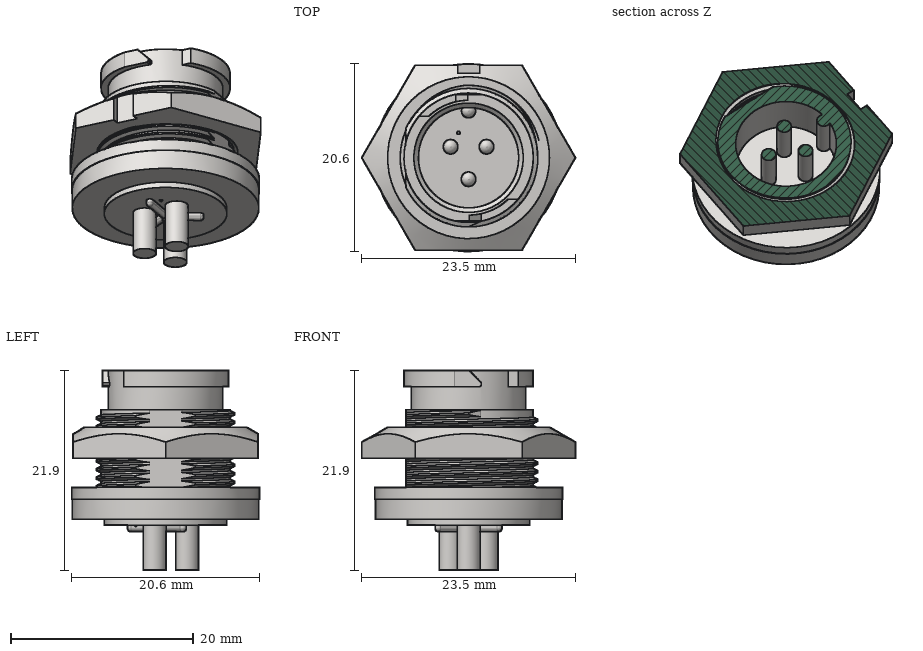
import cadquery as cq
import math


FLANGE_RADIUS = 10.31
FLANGE_LOWER_RADIUS = 10.25
FLANGE_STEP_Z = 2.2
FLANGE_TOP_Z = 3.5
BASE_RADIUS = 6.73
BASE_BOTTOM_Z = -0.64

BARREL_RADIUS = 7.1
BARREL_TOP_Z = 12.05
BARREL_FLAT_X = -6.87
PITCH = 0.94
THREAD_CREST_RADIUS = 7.6
THREAD_ROOT_WIDTH = 0.70
THREAD_CREST_WIDTH = 0.20
THREAD_EMBED = 0.15
THREAD_END_Z = 11.58
THREAD_TURNS = 9
THREAD_EXTRA_TURNS = 0.1
THREAD_END_X = 1.3

SOCKET_TOP_Z = 16.35
SOCKET_RADIUS = 6.3
BORE_RADIUS = 5.5
BORE_CHAMFER = 0.5
BORE_FLOOR_Z = FLANGE_TOP_Z

COLLAR_RADIUS = 7.09
COLLAR_BOTTOM_Z = 14.55
COLLAR_FLAT_Y = 6.92
GAP_END_Y = 4.56
RAMP_TOP_X = 0.07
RAMP_BOTTOM_X = 1.40
RAMP_LOW_Z = 14.98
TIP_CHAMFER = 0.15

CONTACT_PAIR_X = 1.97
CONTACT_PAIR_Y = 1.2
CONTACT_SINGLE_Y = -2.36
CONTACT_POSITIONS = (
    (CONTACT_PAIR_X, CONTACT_PAIR_Y),
    (-CONTACT_PAIR_X, CONTACT_PAIR_Y),
    (0, CONTACT_SINGLE_Y),
)
CONTACT_RADIUS = 0.8
CONTACT_TIP_Z = 13.58
TIP_ROUNDING = 0.999
TAIL_RADIUS = 1.27
TAIL_BOTTOM_Z = -5.56
KEY_Y = 5.15
KEY_RADIUS = 0.78
KEY_TIP_Z = 15.47

WEB_ANGLES = (90, 210, 330)
WEB_HALF_WIDTH = 0.38
WEB_LENGTH = 4.18
WEB_BOTTOM_Z = -1.35
WEB_FILLET = 0.35

DOT_RADIUS = 0.17
DOT_HEIGHT = 0.16
FLOOR_DOT = (-1.1, 2.72)
BASE_DOT = (-1.1, 3.26)

NUT_BOTTOM_Z = 6.7
NUT_TOP_Z = 10.13
NUT_ACROSS_CORNERS = 23.46
NUT_ACROSS_FLATS = NUT_ACROSS_CORNERS * math.cos(math.pi / 6)
NUT_FACE_RADIUS = 8.88
NUT_CHAMFER_ANGLE = 30
NUT_BORE_RADIUS = 7.5
NUT_GROOVE_RADIUS = 7.94
NUT_GROOVE_WIDTH = 0.40
NUT_GROOVE_ROOT_WIDTH = 0.10
NUT_GROOVE_OVERLAP = 0.1
NUT_NOTCH_WIDTH = 2.4
NUT_NOTCH_FLOOR_Y = 9.29

CUT_MARGIN = 1.0


def cylinder(radius, bottom, top, x=0, y=0):
    return cq.Workplane("XY", origin=(x, y, bottom)).circle(radius).extrude(top - bottom)


def helical_ridge(inner_radius, inner_width, outer_radius, outer_width, start_z, turns):
    """Right-handed trapezoidal ridge that starts on the -Y side at start_z."""
    path = cq.Wire.makeHelix(PITCH, turns * PITCH, inner_radius)
    profile = cq.Workplane("XZ").polyline([
        (inner_radius, -inner_width / 2),
        (outer_radius, -outer_width / 2),
        (outer_radius, outer_width / 2),
        (inner_radius, inner_width / 2),
    ]).close()
    ridge = profile.sweep(cq.Workplane(path), isFrenet=True)
    return ridge.rotate((0, 0, 0), (0, 0, 1), -90).translate((0, 0, start_z))


def round_pin(radius, bottom, tip, x, y):
    """Upright pin with a hemispherical tip."""
    return cylinder(radius, bottom, tip, x, y).faces(">Z").edges().fillet(radius * TIP_ROUNDING)


def flatted_cylinder(radius):
    """Cylinder over the barrel's height, with the barrel's flat on the -X side."""
    flat = (
        cq.Workplane("XY", origin=(BARREL_FLAT_X - radius, 0, FLANGE_TOP_Z))
        .rect(2 * radius, 2 * radius)
        .extrude(BARREL_TOP_Z - FLANGE_TOP_Z)
    )
    return cylinder(radius, FLANGE_TOP_Z, BARREL_TOP_Z).cut(flat)


def thread():
    flank_slope = (THREAD_ROOT_WIDTH - THREAD_CREST_WIDTH) / (THREAD_CREST_RADIUS - BARREL_RADIUS)
    ridge = helical_ridge(
        BARREL_RADIUS - THREAD_EMBED,
        THREAD_ROOT_WIDTH + flank_slope * THREAD_EMBED,
        THREAD_CREST_RADIUS,
        THREAD_CREST_WIDTH,
        THREAD_END_Z - THREAD_TURNS * PITCH,
        THREAD_TURNS + THREAD_EXTRA_TURNS,
    )
    fade = (
        cq.Workplane("XY", origin=(0, 0, THREAD_END_Z - THREAD_ROOT_WIDTH / 2))
        .polyline([
            (0, -THREAD_CREST_RADIUS),
            (THREAD_END_X, -math.sqrt(BARREL_RADIUS ** 2 - THREAD_END_X ** 2)),
            (THREAD_END_X, 0),
            (THREAD_CREST_RADIUS + CUT_MARGIN, 0),
            (THREAD_CREST_RADIUS + CUT_MARGIN, -THREAD_CREST_RADIUS - CUT_MARGIN),
            (0, -THREAD_CREST_RADIUS - CUT_MARGIN),
        ])
        .close()
        .extrude(PITCH)
    )
    return ridge.cut(fade)


def threaded_barrel():
    """Overlong threaded rod, trimmed to the barrel's height and flat."""
    rod = cylinder(BARREL_RADIUS, FLANGE_TOP_Z - CUT_MARGIN, BARREL_TOP_Z + CUT_MARGIN)
    threaded_rod = rod.union(thread(), clean=False)
    return threaded_rod.intersect(flatted_cylinder(THREAD_CREST_RADIUS + CUT_MARGIN), clean=False)


def bayonet_collar():
    height = SOCKET_TOP_Z - COLLAR_BOTTOM_Z
    collar = cylinder(COLLAR_RADIUS, COLLAR_BOTTOM_Z, SOCKET_TOP_Z)
    collar = collar.intersect(
        cq.Workplane("XY", origin=(0, 0, COLLAR_BOTTOM_Z))
        .rect(2 * COLLAR_RADIUS, 2 * COLLAR_FLAT_Y)
        .extrude(height)
    )
    gap = (
        cq.Workplane("XZ", origin=(0, -GAP_END_Y, 0))
        .polyline([
            (RAMP_TOP_X, SOCKET_TOP_Z),
            (RAMP_BOTTOM_X, RAMP_LOW_Z),
            (RAMP_BOTTOM_X, COLLAR_BOTTOM_Z + TIP_CHAMFER),
            (RAMP_BOTTOM_X - TIP_CHAMFER, COLLAR_BOTTOM_Z),
            (COLLAR_RADIUS, COLLAR_BOTTOM_Z),
            (COLLAR_RADIUS, SOCKET_TOP_Z),
        ])
        .close()
        .extrude(COLLAR_RADIUS - GAP_END_Y)
    )
    for turn in (0, 180):
        collar = collar.cut(gap.rotate((0, 0, 0), (0, 0, 1), turn))
    return collar


def web():
    arms = cylinder(WEB_HALF_WIDTH, WEB_BOTTOM_Z, BASE_BOTTOM_Z)
    slot_length = 2 * WEB_LENGTH
    for angle in WEB_ANGLES:
        arm = (
            cq.Workplane("XY", origin=(0, 0, WEB_BOTTOM_Z))
            .slot2D(slot_length, 2 * WEB_HALF_WIDTH)
            .extrude(BASE_BOTTOM_Z - WEB_BOTTOM_Z)
            .faces("<Z").edges().fillet(WEB_FILLET)
        )
        half = cq.Workplane("XY").box(
            slot_length, slot_length, slot_length, centered=(False, True, True)
        )
        arms = arms.union(arm.intersect(half).rotate((0, 0, 0), (0, 0, 1), angle))
    return arms


def marker_dot(position, z, direction):
    x, y = position
    return cq.Workplane(
        cq.Solid.makeCone(DOT_RADIUS, 0, DOT_HEIGHT, cq.Vector(x, y, z), cq.Vector(0, 0, direction))
    )


def make_connector():
    body = (
        threaded_barrel()
        .union(cylinder(FLANGE_LOWER_RADIUS, 0, FLANGE_STEP_Z))
        .union(cylinder(FLANGE_RADIUS, FLANGE_STEP_Z, FLANGE_TOP_Z))
        .union(cylinder(BASE_RADIUS, BASE_BOTTOM_Z, 0))
        .union(cylinder(SOCKET_RADIUS, BARREL_TOP_Z, SOCKET_TOP_Z))
        .union(bayonet_collar())
    )
    bore = cylinder(BORE_RADIUS, BORE_FLOOR_Z, SOCKET_TOP_Z)
    mouth = cq.Workplane(cq.Solid.makeCone(
        BORE_RADIUS, BORE_RADIUS + BORE_CHAMFER, BORE_CHAMFER,
        cq.Vector(0, 0, SOCKET_TOP_Z - BORE_CHAMFER),
    ))
    body = body.cut(bore).cut(mouth)

    for x, y in CONTACT_POSITIONS:
        body = body.union(round_pin(CONTACT_RADIUS, BORE_FLOOR_Z, CONTACT_TIP_Z, x, y))
        body = body.union(cylinder(TAIL_RADIUS, TAIL_BOTTOM_Z, BASE_BOTTOM_Z, x, y))

    body = body.union(round_pin(KEY_RADIUS, BORE_FLOOR_Z, KEY_TIP_Z, 0, KEY_Y))
    body = body.union(web())
    body = body.union(marker_dot(FLOOR_DOT, BORE_FLOOR_Z, 1))
    return body.union(marker_dot(BASE_DOT, BASE_BOTTOM_Z, -1))


def make_nut():
    height = NUT_TOP_Z - NUT_BOTTOM_Z
    corner_radius = NUT_ACROSS_CORNERS / 2
    corner_drop = (corner_radius - NUT_FACE_RADIUS) * math.tan(math.radians(NUT_CHAMFER_ANGLE))
    hexagon = (
        cq.Workplane("XY", origin=(0, 0, NUT_BOTTOM_Z))
        .polygon(6, NUT_ACROSS_CORNERS)
        .extrude(height)
    )
    chamfer_envelope = (
        cq.Workplane("XZ")
        .polyline([
            (0, NUT_BOTTOM_Z),
            (corner_radius, NUT_BOTTOM_Z),
            (corner_radius, NUT_TOP_Z - corner_drop),
            (NUT_FACE_RADIUS, NUT_TOP_Z),
            (0, NUT_TOP_Z),
        ])
        .close()
        .revolve(360, (0, 0, 0), (0, 1, 0))
    )
    nut = hexagon.intersect(chamfer_envelope)

    groove_top_z = THREAD_END_Z - PITCH * math.floor((THREAD_END_Z - NUT_TOP_Z) / PITCH - 1)
    groove_turns = math.ceil((groove_top_z - NUT_BOTTOM_Z) / PITCH) + 1
    groove_slope = (NUT_GROOVE_WIDTH - NUT_GROOVE_ROOT_WIDTH) / (NUT_GROOVE_RADIUS - NUT_BORE_RADIUS)
    groove = helical_ridge(
        NUT_BORE_RADIUS - NUT_GROOVE_OVERLAP,
        NUT_GROOVE_WIDTH + groove_slope * NUT_GROOVE_OVERLAP,
        NUT_GROOVE_RADIUS,
        NUT_GROOVE_ROOT_WIDTH,
        groove_top_z - groove_turns * PITCH,
        groove_turns,
    )
    nut = nut.cut(groove).cut(cylinder(NUT_BORE_RADIUS, NUT_BOTTOM_Z, NUT_TOP_Z))

    notch_depth = NUT_ACROSS_FLATS / 2 - NUT_NOTCH_FLOOR_Y
    notch = (
        cq.Workplane("XY", origin=(0, NUT_NOTCH_FLOOR_Y + notch_depth / 2, NUT_BOTTOM_Z))
        .rect(NUT_NOTCH_WIDTH, notch_depth)
        .extrude(height)
    )
    return nut.cut(notch)


connector = make_connector()
nut = make_nut()
result = cq.Compound.makeCompound([connector.solids().val(), nut.solids().val()])